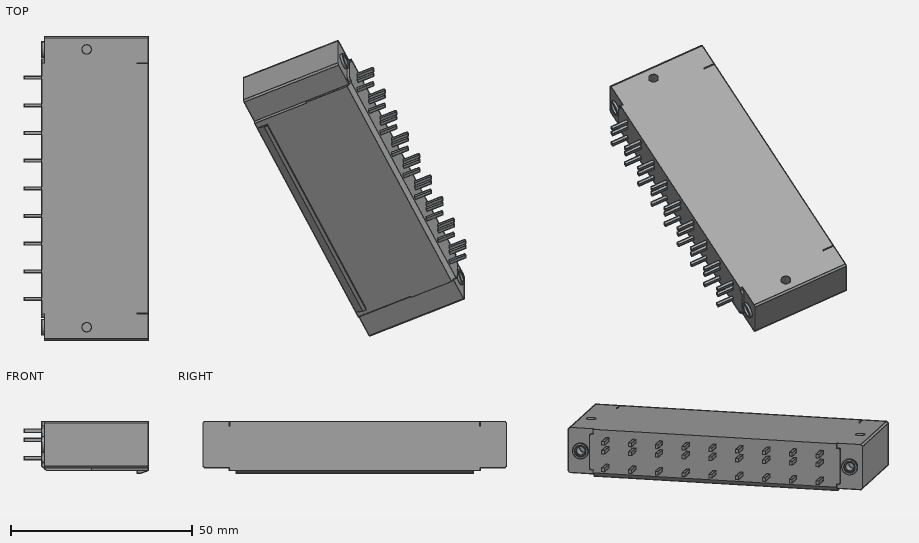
import cadquery as cq

TOTAL_WIDTH = 83.8
REAR_X = 29.4

HOUSING_WIDTH = 69.2
HOUSING_HEIGHT = 13.6
FRONT_CHAMFER = 1.25

EAR_FRONT_X = 0.75
EAR_HEIGHT = 12.8
EAR_CHAMFER = 0.5
EAR_WIDTH = (TOTAL_WIDTH - HOUSING_WIDTH) / 2
EDGE_TO_HOLE = 3.6
HOLE_OFFSET_Y = TOTAL_WIDTH / 2 - EDGE_TO_HOLE
MOUNTING_HOLE_X = 12.4
MOUNTING_HOLE_DIAMETER = 2.6
MOUNTING_HOLE_DEPTH = 4.2

SLOT_LENGTH = 3.2
SLOT_WIDTH = 0.25
SLOT_DEPTH = 1.25

PLATE_WIDTH = 71.3
PLATE_HEIGHT = 10.15
PLATE_CORNER_RADIUS = 0.5

SOCKET_DIAMETER = 4.4
COUNTERBORE_DIAMETER = 3.2
COUNTERBORE_DEPTH = 0.7
SOCKET_BORE_DIAMETER = 2.4
SOCKET_BORE_DEPTH = 4.2

PIN_LENGTH = 4.9
PIN_WIDTH = 0.8
PIN_HEIGHT = 1.0
PIN_ROOT_DEPTH = 0.8
PIN_COLUMNS = 9
PIN_PITCH_Y = 7.6
FIRST_ROW_DEPTH = 2.6
ROW_PITCH = 2.5
ROW_DEPTHS = (FIRST_ROW_DEPTH, FIRST_ROW_DEPTH + ROW_PITCH, FIRST_ROW_DEPTH + 3 * ROW_PITCH)

RIDGE_LENGTH = 3.1
RIDGE_FLAT = 1.0
RIDGE_DROP = 0.75
RIDGE_WIDTH = 65.4

TAPER_LENGTH = 15.8
TAPER_INSET = 0.25


def box(x_start, x_end, width, height, centre_y=0, top_z=0):
    """Block given by its X range, Y width about centre_y and height below top_z."""
    return (
        cq.Workplane("XY")
        .box(x_end - x_start, width, height, centered=(False, True, False))
        .translate((x_start, centre_y, top_z - height))
    )


def make_housing():
    block = box(0, REAR_X, HOUSING_WIDTH, HOUSING_HEIGHT)
    return block.faces("<X").edges("<Z").chamfer(FRONT_CHAMFER)


def make_ear(side):
    centre_y = side * (TOTAL_WIDTH - EAR_WIDTH) / 2
    ear = box(EAR_FRONT_X, REAR_X, EAR_WIDTH, EAR_HEIGHT, centre_y)
    outer_face = ">Y" if side > 0 else "<Y"
    return ear.faces(outer_face).edges("|X").chamfer(EAR_CHAMFER)


def make_plate():
    top_z = (PLATE_HEIGHT - EAR_HEIGHT) / 2
    plate = box(0, EAR_FRONT_X, PLATE_WIDTH, PLATE_HEIGHT, top_z=top_z)
    return plate.edges("|X").fillet(PLATE_CORNER_RADIUS)


def rod(length, diameter, side):
    """Cylinder along X on a screw socket axis, starting at X = 0."""
    axis_start = cq.Vector(0, side * HOLE_OFFSET_Y, -EAR_HEIGHT / 2)
    return cq.Workplane(cq.Solid.makeCylinder(diameter / 2, length, axis_start, cq.Vector(1, 0, 0)))


def make_pins():
    pins = cq.Workplane("XY")
    for depth in ROW_DEPTHS:
        for column in range(PIN_COLUMNS):
            centre_y = (column - (PIN_COLUMNS - 1) / 2) * PIN_PITCH_Y
            top_z = PIN_HEIGHT / 2 - depth
            pins = pins.add(box(-PIN_LENGTH, PIN_ROOT_DEPTH, PIN_WIDTH, PIN_HEIGHT, centre_y, top_z))
    return pins.combine()


def make_ridge():
    return (
        cq.Workplane("XZ", origin=(REAR_X, RIDGE_WIDTH / 2, -HOUSING_HEIGHT))
        .moveTo(-RIDGE_LENGTH, 0)
        .lineTo(-RIDGE_LENGTH, -RIDGE_DROP)
        .lineTo(RIDGE_FLAT - RIDGE_LENGTH, -RIDGE_DROP)
        .lineTo(0, 0)
        .close()
        .extrude(RIDGE_WIDTH)
    )


def make_taper_cut(side):
    edge_y = side * HOUSING_WIDTH / 2
    return (
        cq.Workplane("YZ", origin=(REAR_X - TAPER_LENGTH, 0, 0))
        .moveTo(edge_y, -EAR_HEIGHT)
        .lineTo(edge_y, -HOUSING_HEIGHT)
        .lineTo(edge_y - side * TAPER_INSET, -HOUSING_HEIGHT)
        .close()
        .extrude(TAPER_LENGTH)
    )


def make_mounting_hole(side):
    return (
        cq.Workplane("XY")
        .center(MOUNTING_HOLE_X, side * HOLE_OFFSET_Y)
        .circle(MOUNTING_HOLE_DIAMETER / 2)
        .extrude(-MOUNTING_HOLE_DEPTH)
    )


def make_relief_slot(side):
    centre_y = side * (HOUSING_WIDTH - SLOT_WIDTH) / 2
    return box(REAR_X - SLOT_LENGTH, REAR_X, SLOT_WIDTH, SLOT_DEPTH, centre_y)


result = make_housing().union(make_plate()).union(make_ridge()).union(make_pins())

for side in (-1, 1):
    result = result.union(make_ear(side))
    result = result.union(rod(EAR_FRONT_X, SOCKET_DIAMETER, side))
    result = result.cut(rod(COUNTERBORE_DEPTH, COUNTERBORE_DIAMETER, side))
    result = result.cut(rod(SOCKET_BORE_DEPTH, SOCKET_BORE_DIAMETER, side))
    result = result.cut(make_taper_cut(side))
    result = result.cut(make_mounting_hole(side))
    result = result.cut(make_relief_slot(side))